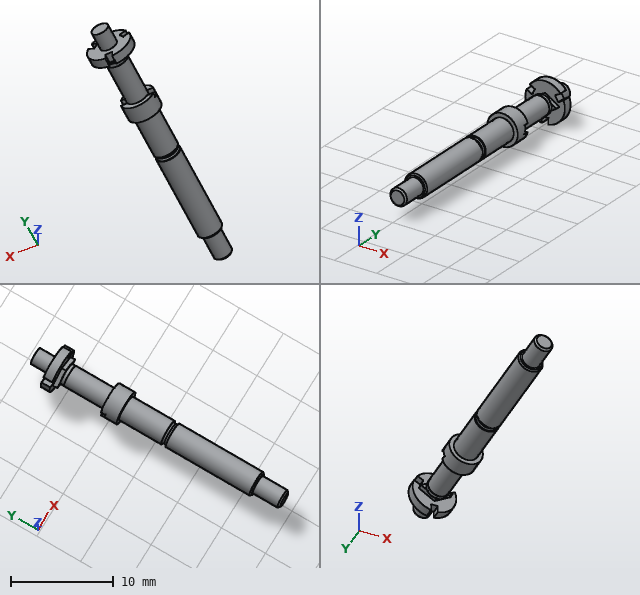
import cadquery as cq

total_length = 28.3
body_front = 3.0
groove_center = 12.95
collar_front = 18.0
collar_rear = 19.8
shank_rear = 24.37
neck_rear = 24.8
disc_front = 25.3
disc_rear = 26.3

tip_radius = 1.0
body_radius = 1.33
collar_radius = 1.8
shank_radius = 1.15
neck_radius = 1.13
disc_radius = 2.35
tail_radius = 0.9

tip_chamfer = 0.2
body_chamfer_length = 0.17
body_chamfer_depth = 0.15

groove_width = 0.5
groove_wall_depth = 0.1
groove_depth = 0.2

notch_width = 1.0
notch_depth = 0.5

slot_count = 3
slot_width = 0.74
slot_floor_radius = 1.58
first_slot_angle = -90.0

key_half_width = 1.7
key_half_height = 1.08


def cylinder(radius, y_start, y_end):
    return cq.Workplane("XZ", origin=(0, y_start, 0)).circle(radius).extrude(y_start - y_end)


def make_front_part():
    """Tip, grooved body, collar, shank and neck, revolved about Y as one profile."""
    groove_front = groove_center - groove_width / 2
    groove_rear = groove_center + groove_width / 2
    profile = (
        cq.Workplane("XY")
        .lineTo(tip_radius - tip_chamfer, 0)
        .lineTo(tip_radius, tip_chamfer)
        .lineTo(tip_radius, body_front)
        .lineTo(body_radius - body_chamfer_depth, body_front)
        .lineTo(body_radius, body_front + body_chamfer_length)
        .lineTo(body_radius, groove_front)
        .lineTo(body_radius - groove_wall_depth, groove_front)
        .lineTo(body_radius - groove_depth, groove_center)
        .lineTo(body_radius - groove_wall_depth, groove_rear)
        .lineTo(body_radius, groove_rear)
        .lineTo(body_radius, collar_front)
        .lineTo(collar_radius, collar_front)
        .lineTo(collar_radius, collar_rear)
        .lineTo(shank_radius, collar_rear)
        .lineTo(shank_radius, shank_rear)
        .lineTo(neck_radius, shank_rear)
        .lineTo(neck_radius, neck_rear)
        .lineTo(0, neck_rear)
        .close()
    )
    return profile.revolve(360, (0, 0, 0), (0, 1, 0))


def make_collar_notches():
    """Cutter: a bar across the collar that leaves the shank untouched."""
    bar = (
        cq.Workplane("XY")
        .box(2 * collar_radius, notch_depth, notch_width)
        .translate((0, collar_rear - notch_depth / 2, 0))
    )
    return bar.cut(cylinder(shank_radius, collar_front, collar_rear))


def make_key():
    corners = [
        (key_half_width, 0),
        (0, key_half_height),
        (-key_half_width, 0),
        (0, -key_half_height),
    ]
    outline = cq.Workplane("XZ", origin=(0, neck_rear, 0)).polyline(corners).close()
    return outline.extrude(neck_rear - disc_front)


def make_disc_slot(angle):
    """Cutter: flat-floored slot open at the disc rim; angle is measured from +X towards +Z."""
    slot = (
        cq.Workplane("XY")
        .box(disc_radius, disc_rear - disc_front, slot_width, centered=(False, False, True))
        .translate((slot_floor_radius, disc_front, 0))
    )
    return slot.rotate((0, 0, 0), (0, 1, 0), -angle)


def make_slotted_disc():
    disc = cylinder(disc_radius, disc_front, disc_rear)
    for i in range(slot_count):
        disc = disc.cut(make_disc_slot(first_slot_angle + i * 360 / slot_count))
    return disc


front_part = make_front_part().cut(make_collar_notches())
tail = cylinder(tail_radius, disc_rear, total_length)
result = front_part.union(make_key()).union(make_slotted_disc()).union(tail)